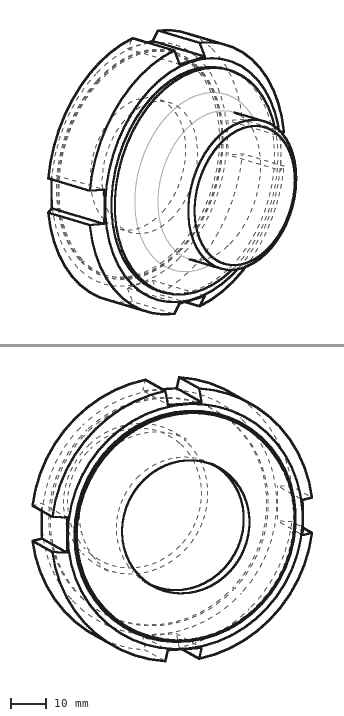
import cadquery as cq
import math

OUTER_SIZE = 77.35
SLOT_WIDTH = 10.05
NUT_RADIUS = math.hypot(OUTER_SIZE / 2, SLOT_WIDTH / 2)
NUT_FACE_RADIUS = 35.0
NUT_FRONT = 0.5
NUT_BACK = 21.65
NUT_CHAMFER_LENGTH = 2.4
SLOT_COUNT = 4
SLOT_FLOOR_RADIUS = 35.1

DISC_RADIUS = 65.0 / 2
DISC_BACK = 23.0
NUT_BORE_RADIUS = 65.9 / 2
GAP_DEPTH = 0.5
POCKET_RADIUS = 38.0 / 2
POCKET_DEPTH = 4.65

SPIGOT_RADIUS = 43.0 / 2
SPIGOT_START = 29.1
LENGTH = 42.0
NECK_FILLET = 5.0
END_CHAMFER_LENGTH = 0.9
END_CHAMFER_DROP = 1.55


def cylinder(start, end, radius):
    """Solid cylinder along X between two stations."""
    return cq.Workplane("YZ", origin=(start, 0, 0)).circle(radius).extrude(end - start)


def revolve_about_x(profile):
    """Revolve a closed (x, radius) profile about the X axis."""
    return profile.close().revolve(360, (0, 0), (1, 0))


def make_nut():
    nut = revolve_about_x(
        cq.Workplane("XY")
        .moveTo(NUT_FRONT, 0)
        .lineTo(NUT_FRONT, NUT_FACE_RADIUS)
        .lineTo(NUT_FRONT + NUT_CHAMFER_LENGTH, NUT_RADIUS)
        .lineTo(NUT_BACK - NUT_CHAMFER_LENGTH, NUT_RADIUS)
        .lineTo(NUT_BACK, NUT_FACE_RADIUS)
        .lineTo(NUT_BACK, 0)
    )
    for index in range(SLOT_COUNT):
        slot = (
            cq.Workplane("XY")
            .box(LENGTH, SLOT_WIDTH, NUT_RADIUS, centered=(False, True, False))
            .translate((0, 0, SLOT_FLOOR_RADIUS))
            .rotate((0, 0, 0), (1, 0, 0), index * 360 / SLOT_COUNT)
        )
        nut = nut.cut(slot)
    return nut.cut(cylinder(0, NUT_FRONT + GAP_DEPTH, NUT_BORE_RADIUS))


def make_disc_and_spigot():
    centre_x = SPIGOT_START
    centre_r = SPIGOT_RADIUS + NECK_FILLET
    offset_x = DISC_BACK - centre_x
    offset_r = DISC_RADIUS - centre_r
    edge_angle = math.atan2(offset_r, offset_x)
    tangent_angle = edge_angle + math.acos(NECK_FILLET / math.hypot(offset_x, offset_r))
    middle_angle = (tangent_angle + 1.5 * math.pi) / 2

    def arc_point(angle):
        return (centre_x + NECK_FILLET * math.cos(angle), centre_r + NECK_FILLET * math.sin(angle))

    return revolve_about_x(
        cq.Workplane("XY")
        .moveTo(0, 0)
        .lineTo(0, DISC_RADIUS)
        .lineTo(DISC_BACK, DISC_RADIUS)
        .lineTo(*arc_point(tangent_angle))
        .threePointArc(arc_point(middle_angle), (SPIGOT_START, SPIGOT_RADIUS))
        .lineTo(LENGTH - END_CHAMFER_LENGTH, SPIGOT_RADIUS)
        .lineTo(LENGTH, SPIGOT_RADIUS - END_CHAMFER_DROP)
        .lineTo(LENGTH, 0)
    )


pocket = cylinder(0, POCKET_DEPTH, POCKET_RADIUS)
result = make_nut().union(make_disc_and_spigot()).cut(pocket)